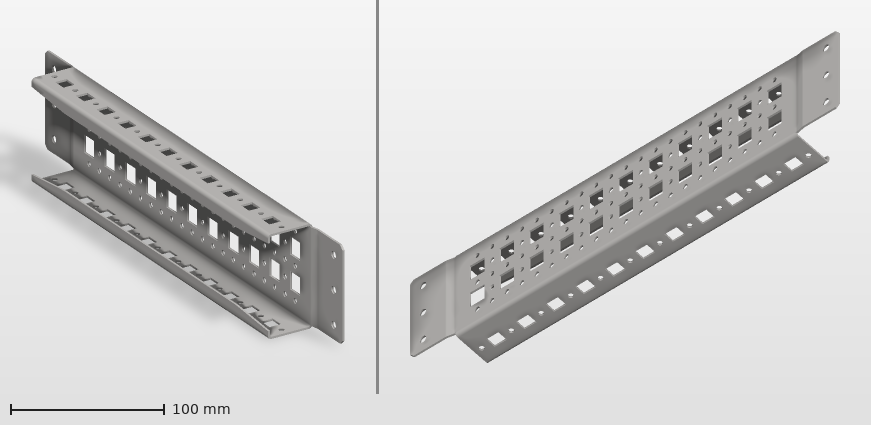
import cadquery as cq

length = 361.0
depth = 35.5
height = 75.0
sheet = 1.5
outer_bend = 2.7
inner_bend = outer_bend - sheet

body_length = 287.0
lip_height = 9.7
lip_end_height = 6.0
lip_taper_length = 39.5

ear_height = 70.8
ear_corner = 3.0
ear_setback = 1.3
step_start = 144.0
step_end = 150.0
step_bend = 4.5
ear_holes = 3
ear_hole_x = 169.5
ear_hole_diameter = 5.5

window_columns = 11
web_window_rows = 2
window_span = 250.0
pitch = window_span / (window_columns - 1)
half_pitch = pitch / 2
web_window_width = 12.3
web_window_height = 13.0
flange_window_width = 10.0
flange_window_depth = 8.5
small_hole_diameter = 4.0
flange_hole_setback = 21.3

front = -depth / 2
back = depth / 2
web_back = back - ear_setback
web_front = web_back - sheet
ear_front = back - sheet
cut_depth = 2 * (back - web_front)
flange_hole_y = back - flange_hole_setback


def row(count, spacing):
    """Positions of equally spaced items centred on zero."""
    return [(i - (count - 1) / 2) * spacing for i in range(count)]


def grid(columns, rows):
    """Every pairing of the given column and row positions."""
    return [(x, z) for x in columns for z in rows]


def channel():
    """C-shaped channel with inward lips along its open front."""
    outer = (
        cq.Workplane("YZ")
        .rect(web_back - front, height)
        .extrude(body_length / 2, both=True)
        .edges("|X")
        .fillet(outer_bend)
    )
    inner = (
        cq.Workplane("YZ")
        .rect(web_back - front - 2 * sheet, height - 2 * sheet)
        .extrude(body_length / 2, both=True)
        .edges("|X")
        .fillet(inner_bend)
    )
    shell = outer.cut(inner).translate((0, (front + web_back) / 2, 0))
    return shell.cut(lip_opening())


def lip_opening():
    """Front opening between the lips, widening towards both ends of the channel."""
    end_x = body_length / 2
    taper_x = end_x - lip_taper_length
    end_z = height / 2 - lip_end_height
    middle_z = height / 2 - lip_height
    outline = [
        (-end_x, -end_z),
        (-taper_x, -middle_z),
        (taper_x, -middle_z),
        (end_x, -end_z),
        (end_x, end_z),
        (taper_x, middle_z),
        (-taper_x, middle_z),
        (-end_x, end_z),
    ]
    return cq.Workplane("XZ", origin=(0, front + outer_bend, 0)).polyline(outline).close().extrude(outer_bend)


def right_ear():
    """Mounting ear with a shallow step joining it to the end of the web."""
    inside_x = body_length / 2 - sheet
    outline = [
        (inside_x, web_front),
        (step_start, web_front),
        (step_end, ear_front),
        (length / 2, ear_front),
        (length / 2, back),
        (step_end, back),
        (step_start, web_back),
        (inside_x, web_back),
    ]
    ear = cq.Workplane("XY").polyline(outline).close().extrude(ear_height / 2, both=True)
    bend_zone = cq.selectors.BoxSelector(
        ((inside_x + step_start) / 2, front, -height),
        ((step_end + ear_hole_x) / 2, back + sheet, height),
    )
    ear = ear.edges("|Z").edges(bend_zone).fillet(step_bend)
    ear = ear.faces(">X").edges("|Y").chamfer(ear_corner)
    return ear.cut(round_holes(grid([ear_hole_x], row(ear_holes, pitch)), ear_hole_diameter))


def back_plane(points):
    """Sketch plane just behind the part, for cutting forward through the web or ears."""
    return cq.Workplane("XZ", origin=(0, back + sheet, 0)).pushPoints(points)


def round_holes(points, diameter):
    """Round cutters along Y that pass through the web or ears but not the lips."""
    return back_plane(points).circle(diameter / 2).extrude(cut_depth)


def web_cutters():
    """Rows of windows with round holes between the windows and between the rows."""
    window_rows = row(web_window_rows, pitch)
    windows = (
        back_plane(grid(row(window_columns, pitch), window_rows))
        .rect(web_window_width, web_window_height)
        .extrude(cut_depth)
    )
    between_windows = grid(row(window_columns - 1, pitch), window_rows)
    between_rows = grid(row(2 * window_columns - 1, half_pitch), row(web_window_rows + 1, pitch))
    return windows, round_holes(between_windows + between_rows, small_hole_diameter)


def flange_cutters():
    """One row of windows alternating with round holes, through both flanges."""
    plane = cq.Workplane("XY", origin=(0, flange_hole_y, 0))
    windows = (
        plane.pushPoints(grid(row(window_columns, pitch), [0]))
        .rect(flange_window_width, flange_window_depth)
        .extrude(height, both=True)
    )
    holes = (
        plane.pushPoints(grid(row(window_columns + 1, pitch), [0]))
        .circle(small_hole_diameter / 2)
        .extrude(height, both=True)
    )
    return windows, holes


ear = right_ear()
result = channel().union(ear).union(ear.mirror("YZ"))
for cutter in web_cutters() + flange_cutters():
    result = result.cut(cutter)